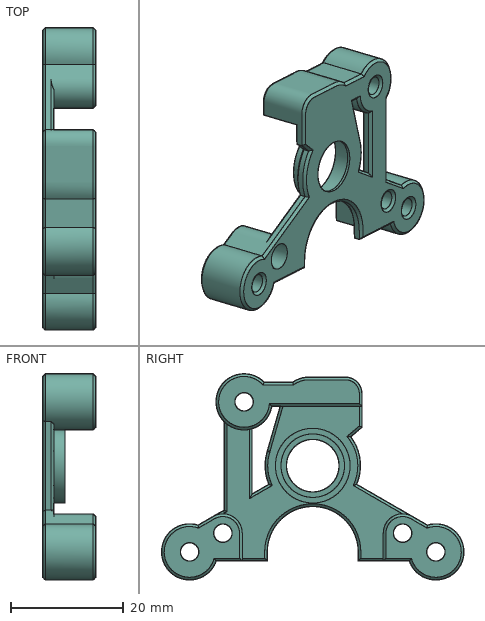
import cadquery as cq
import math


overall_width = 53.85
overall_height = 36.7
depth = 9.5
plate_thickness = 2.0
chamfer = 0.5

boss_radius = 5.0
boss_half_spacing = overall_width / 2 - boss_radius
upper_boss_y = -12.2
upper_boss_z = overall_height - 2 * boss_radius
screw_hole_diameter = 3.25

foot_hole_y = 16.0
foot_hole_z = 3.35
foot_pad_radius = 3.45
foot_slope = math.radians(30)
plate_bottom_z = -1.6
counterbore_diameter = 4.7
counterbore_depth = depth / 2

arch_radius = 8.1

bearing_z = 15.35
seat_boss_diameter = 13.3
seat_boss_depth = 4.0
seat_pocket_diameter = 11.3
seat_bore_diameter = 9.3
seat_lip_thickness = 0.5
ring_radius = 8.5

bar_bottom_z = 25.9
bar_top_z = 30.2
block_side_y = 8.8
block_top_z = 31.1
block_corner_radius = 2.95
block_shoulder_y = -0.7
notch_top_z = 22.2
notch_slope = math.radians(40.5)
notch_root_y = 5.4

window_corner_y = -5.8
column_outer_y = -15.8
column_inner_y = -10.75


tangent_y = foot_hole_y + foot_pad_radius * math.sin(foot_slope)
tangent_z = foot_hole_z + foot_pad_radius * math.cos(foot_slope)


def yz_plane(x=0):
    return cq.Workplane("YZ", origin=(x, 0, 0))


def disc(y, z, radius, thickness):
    return yz_plane().center(y, z).circle(radius).extrude(thickness)


def panel(points, thickness, x=0):
    return yz_plane(x).polyline(points).close().extrude(thickness)


def slope_z(y):
    """Height of a foot's sloping top edge, tangent to the pad, at distance y from the centre."""
    return tangent_z + (tangent_y - y) * math.tan(foot_slope)


def foot(side, thickness):
    """Foot on side +1 or -1 in Y: screw boss joined to the pad round the inner hole."""
    pad_inner_y = foot_hole_y - foot_pad_radius
    link = panel(
        [
            (side * boss_half_spacing, plate_bottom_z),
            (side * boss_half_spacing, slope_z(boss_half_spacing)),
            (side * tangent_y, tangent_z),
            (side * foot_hole_y, foot_hole_z),
            (side * pad_inner_y, foot_hole_z),
            (side * pad_inner_y, plate_bottom_z),
        ],
        thickness,
    )
    boss = disc(side * boss_half_spacing, 0, boss_radius, thickness)
    pad = disc(side * foot_hole_y, foot_hole_z, foot_pad_radius, thickness)
    return boss.union(link).union(pad)


def top_bar(thickness):
    """Bar from the raised block to the upper screw boss."""
    shoulder_center_z = block_top_z - boss_radius
    shoulder_angle = math.asin((bar_top_z - shoulder_center_z) / boss_radius)
    middle_angle = (shoulder_angle + math.pi / 2) / 2

    def shoulder_point(angle):
        return (
            block_shoulder_y - boss_radius * math.cos(angle),
            shoulder_center_z + boss_radius * math.sin(angle),
        )

    corner_y = block_side_y - block_corner_radius
    corner_z = block_top_z - block_corner_radius
    corner_reach = block_corner_radius * math.sqrt(0.5)
    bar = (
        yz_plane()
        .moveTo(block_side_y, bar_bottom_z)
        .lineTo(block_side_y, corner_z)
        .threePointArc((corner_y + corner_reach, corner_z + corner_reach), (corner_y, block_top_z))
        .lineTo(block_shoulder_y, block_top_z)
        .threePointArc(shoulder_point(middle_angle), shoulder_point(shoulder_angle))
        .lineTo(upper_boss_y, bar_top_z)
        .lineTo(upper_boss_y, bar_bottom_z)
        .close()
        .extrude(thickness)
    )
    return bar.union(disc(upper_boss_y, upper_boss_z, boss_radius, thickness))


def chamfer_both_faces(body):
    return body.faces("<X or >X").edges().chamfer(chamfer)


def lower_web():
    """Sloping web across both feet, reaching into the ring around the seat."""
    inner_y = seat_boss_diameter / 2
    right_edge = [(boss_half_spacing, plate_bottom_z)]
    right_edge += [(y, slope_z(y)) for y in (boss_half_spacing, inner_y)]
    left_edge = [(-y, z) for y, z in reversed(right_edge)]
    return panel(right_edge + left_edge, plate_thickness)


def block_panel():
    """Plate between the ring and the top bar; its -Y edge is tangent to the ring."""
    corner_rise = bar_bottom_z - bearing_z
    corner_distance = math.hypot(window_corner_y, corner_rise)
    tangent_angle = math.atan2(corner_rise, window_corner_y) + math.acos(ring_radius / corner_distance)
    notch_root_z = notch_top_z - (block_side_y - notch_root_y) * math.tan(notch_slope)
    return panel(
        [
            (block_side_y, bar_bottom_z),
            (block_side_y, notch_top_z),
            (notch_root_y, notch_root_z),
            (0, bearing_z),
            (ring_radius * math.cos(tangent_angle), bearing_z + ring_radius * math.sin(tangent_angle)),
            (window_corner_y, bar_bottom_z),
        ],
        plate_thickness,
    )


def column():
    return panel(
        [
            (column_outer_y, foot_hole_z),
            (column_inner_y, foot_hole_z),
            (column_inner_y, upper_boss_z),
            (column_outer_y, upper_boss_z),
        ],
        plate_thickness,
    )


def column_corner():
    """Square rear edge of the plate between the column and the pad on the -Y foot."""
    return panel(
        [
            (column_outer_y, slope_z(-column_outer_y)),
            (-tangent_y, tangent_z),
            (-foot_hole_y, foot_hole_z),
        ],
        plate_thickness - chamfer,
        x=chamfer,
    )


def arch_cutter():
    """Round-topped opening that runs straight down through the bottom edge."""
    below_z = 2 * plate_bottom_z
    slot = panel(
        [(-arch_radius, 0), (arch_radius, 0), (arch_radius, below_z), (-arch_radius, below_z)],
        plate_thickness,
    )
    return slot.union(disc(0, 0, arch_radius, plate_thickness))


def lower_plate():
    """Feet, web, ring and column, with the arched opening cut out."""
    body = lower_web()
    ring = disc(0, bearing_z, ring_radius, plate_thickness)
    for piece in (ring, foot(1, plate_thickness), foot(-1, plate_thickness), column()):
        body = body.union(piece)
    return body.cut(arch_cutter()).clean()


def upper_plate():
    """Block panel and top bar; its lower tip lies inside the ring."""
    return block_panel().union(top_bar(plate_thickness)).clean()


def cut_bearing_seat(body):
    bore = disc(0, bearing_z, seat_bore_diameter / 2, seat_boss_depth)
    pocket = (
        yz_plane(seat_lip_thickness)
        .center(0, bearing_z)
        .circle(seat_pocket_diameter / 2)
        .extrude(seat_boss_depth - seat_lip_thickness)
    )
    return body.cut(bore).cut(pocket)


def cut_screw_hole(body, y, z):
    """Through hole with a chamfered front rim."""
    hole_radius = screw_hole_diameter / 2
    rim = cq.Solid.makeCone(
        hole_radius + chamfer, hole_radius, chamfer, cq.Vector(0, y, z), cq.Vector(1, 0, 0)
    )
    return body.cut(disc(y, z, hole_radius, depth)).cut(cq.Workplane(rim))


def cut_counterbored_hole(body, y, z):
    hole = disc(y, z, screw_hole_diameter / 2, depth)
    counterbore = disc(y, z, counterbore_diameter / 2, counterbore_depth)
    return body.cut(hole).cut(counterbore)


result = chamfer_both_faces(lower_plate())
for piece in (upper_plate(), foot(1, depth), foot(-1, depth), top_bar(depth)):
    result = result.union(chamfer_both_faces(piece.clean()))
result = result.union(column_corner())
result = result.union(disc(0, bearing_z, seat_boss_diameter / 2, seat_boss_depth))
result = cut_bearing_seat(result)

screw_hole_centers = [
    (boss_half_spacing, 0),
    (-boss_half_spacing, 0),
    (upper_boss_y, upper_boss_z),
    (-foot_hole_y, foot_hole_z),
]
for hole_y, hole_z in screw_hole_centers:
    result = cut_screw_hole(result, hole_y, hole_z)
result = cut_counterbored_hole(result, foot_hole_y, foot_hole_z)